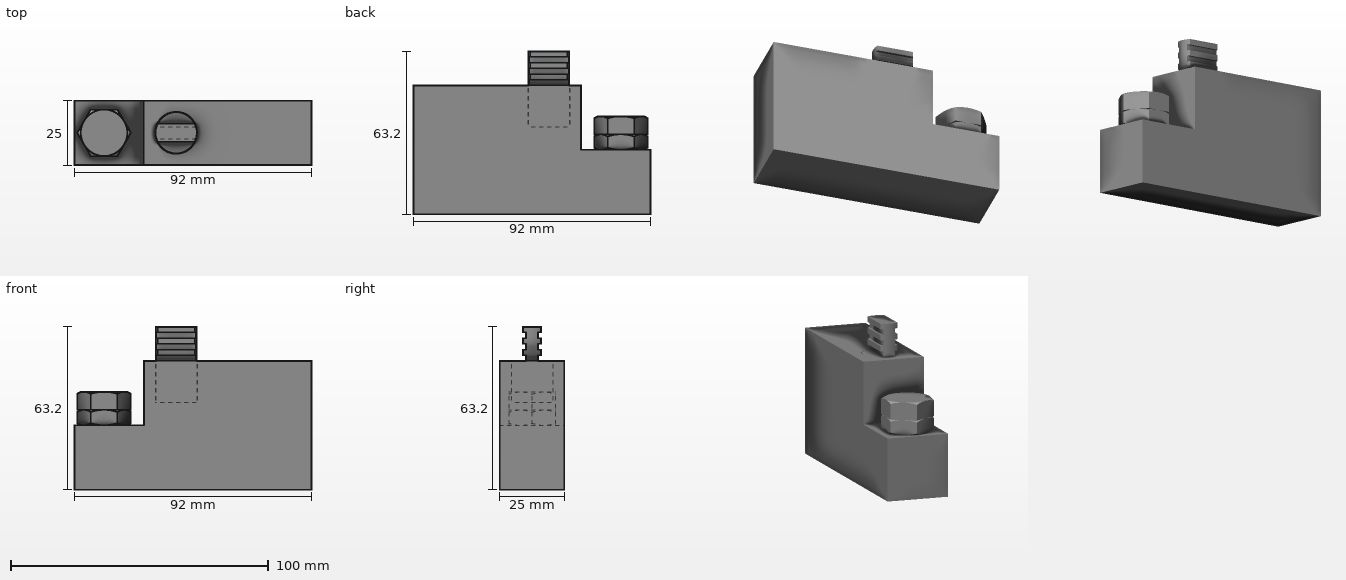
import cadquery as cq
import math

length = 92
width = 25.0
step_height = 25.0
step_length = 27.0
housing_height = 50.0

bolt_x = 11.5
across_flats = 18.0
nut_height = 6.0
stack_height = 13.0
head_height = stack_height - nut_height
chamfer_angle = math.radians(30)

pin_x = 39.5
pin_diameter = 16.0
hole_diameter = 16.3
hole_depth = 16.0
tang_thickness = 7.0
tang_height = 13.25
groove_depth = 1.1
groove_count = 3
groove_height = tang_height / (2 * groove_count)

across_corners = across_flats / math.cos(math.radians(30))
corner_drop = (across_corners - across_flats) / 2 * math.tan(chamfer_angle)


def make_hexagon(height, chamfer_bottom):
    """Hexagonal prism with its corners turned to a cone at the top, and optionally at the bottom."""
    flat_radius = across_flats / 2
    corner_radius = across_corners / 2
    profile = cq.Workplane("XZ").moveTo(0, 0)
    if chamfer_bottom:
        profile = profile.lineTo(flat_radius, 0).lineTo(corner_radius, corner_drop)
    else:
        profile = profile.lineTo(corner_radius, 0)
    profile = profile.lineTo(corner_radius, height - corner_drop)
    profile = profile.lineTo(flat_radius, height).lineTo(0, height).close()
    turned_envelope = profile.revolve(360, (0, 0, 0), (0, 1, 0))
    return cq.Workplane("XY").polygon(6, across_corners).extrude(height).intersect(turned_envelope)


def make_housing():
    """Stepped block with the bolt head and nut on its step and a blind hole for the pin."""
    outline = (
        cq.Workplane("XZ")
        .moveTo(0, 0)
        .lineTo(length, 0)
        .lineTo(length, housing_height)
        .lineTo(step_length, housing_height)
        .lineTo(step_length, step_height)
        .lineTo(0, step_height)
        .close()
    )
    block = outline.extrude(width / 2, both=True)

    hole = cq.Workplane("XY").circle(hole_diameter / 2).extrude(hole_depth)
    block = block.cut(hole.translate((pin_x, 0, housing_height - hole_depth)))

    nut = make_hexagon(nut_height, chamfer_bottom=True)
    head = make_hexagon(head_height, chamfer_bottom=False)
    block = block.union(nut.translate((bolt_x, 0, step_height)))
    return block.union(head.translate((bolt_x, 0, step_height + nut_height)))


def make_pin():
    """Round shank resting on the hole floor, with a flat tang grooved on both sides."""
    shank = cq.Workplane("XY").circle(pin_diameter / 2).extrude(hole_depth)
    round_tang = cq.Workplane("XY").circle(pin_diameter / 2).extrude(tang_height)

    bands = cq.Workplane("XY").box(
        pin_diameter, tang_thickness - 2 * groove_depth, tang_height, centered=(True, True, False)
    )
    tooth = cq.Workplane("XY").box(
        pin_diameter, tang_thickness, groove_height, centered=(True, True, False)
    )
    for index in range(groove_count):
        bands = bands.union(tooth.translate((0, 0, (2 * index + 1) * groove_height)))

    tang = round_tang.intersect(bands).translate((0, 0, hole_depth))
    return shank.union(tang).translate((pin_x, 0, housing_height - hole_depth))


housing = make_housing()
pin = make_pin()
result = cq.Compound.makeCompound([housing.solids().val(), pin.solids().val()])